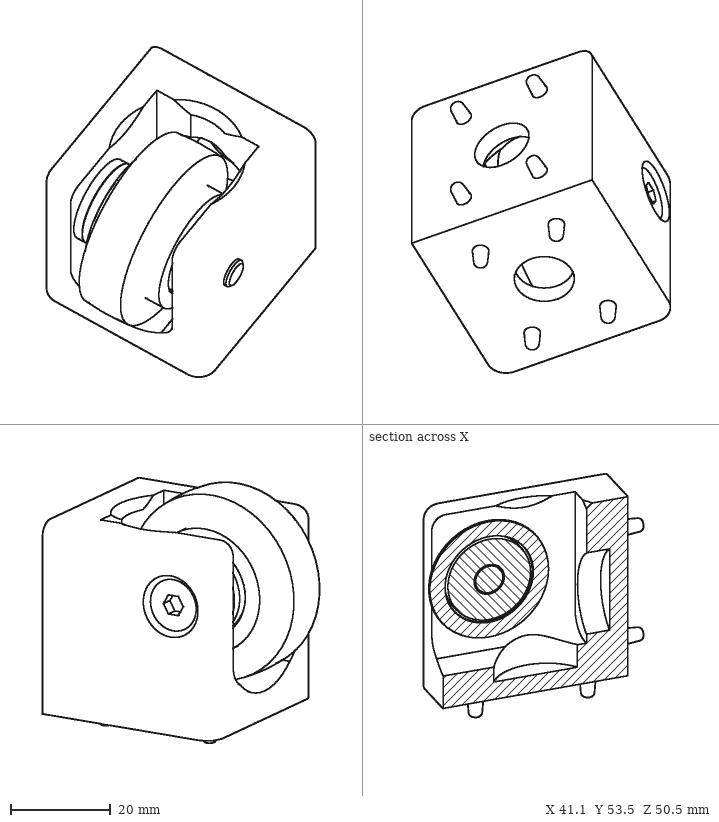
import cadquery as cq
import math


cube_size = 40.0
half_cube = cube_size / 2
upright_edge_radius = 4.0
top_edge_radius = 3.0

slot_width = 24.6
slot_wall_thickness = 9.0
slot_corner_radius = 5.0
slot_depth = cube_size - slot_wall_thickness

seat_diameter = 22.0
bolt_diameter = 12.0
seat_wall_thickness = 4.0

mouth_diameter = 27.5
access_diameter = 23.5
mouth_depth = (mouth_diameter - access_diameter) / 2

channel_bottom_z = -14.15
channel_edge_z = -10.4
channel_half_width = 9.7

peg_diameter = 3.3
peg_length = 4.0
peg_taper_angle = 4.5
peg_tip_radius = 0.9
peg_spacing_across = 16.8
peg_spacing_along = 24.3

axle_y = -10.0
axle_z = 7.0

screw_diameter = 6.0
screw_length = 40.0
screw_tip_chamfer = 0.5
screw_protrusion = 1.05
screw_end_x = half_cube + screw_protrusion
screw_head_x = screw_end_x - screw_length
hex_across_flats = 4.0
hex_depth = 2.5
countersink_diameter = 12.8
head_diameter = countersink_diameter - 2 * (screw_head_x + half_cube)
head_height = (head_diameter - screw_diameter) / 2

ring_diameter = 18.0
ring_bore = 6.4
washer_thickness = 2.0
washer_gap = 0.1
collar_standout = 1.3
wheel_diameter = 39.0
tread_edge_diameter = 38.5
tread_width = 10.0
hub_diameter = 25.8
hub_recess_diameter = 19.0
hub_recess_depth = 1.0
hub_fillet = 0.5
left_hub_length = 2.8

slot_left_x = -slot_width / 2
slot_right_x = slot_width / 2
first_washer_x = slot_left_x + washer_gap
second_washer_x = first_washer_x + washer_thickness + washer_gap
left_collar_x = second_washer_x + washer_thickness
collar_thickness = collar_standout + hub_recess_depth
right_collar_x = slot_right_x - collar_thickness
wheel_left_x = left_collar_x + collar_standout
wheel_right_x = slot_right_x - collar_standout
tread_left_x = wheel_left_x + left_hub_length
tread_middle_x = tread_left_x + tread_width / 2
tread_right_x = tread_left_x + tread_width


def axle_cylinder(start_x, diameter, length):
    """Cylinder on the wheel axis that runs from start_x toward +X."""
    plane = cq.Workplane("YZ", origin=(start_x, axle_y, axle_z))
    return plane.circle(diameter / 2).extrude(length)


def axle_cone(start_x, start_diameter, end_diameter, length):
    """Truncated cone on the wheel axis that runs from start_x toward +X."""
    return cq.Workplane(
        cq.Solid.makeCone(
            start_diameter / 2,
            end_diameter / 2,
            length,
            pnt=cq.Vector(start_x, axle_y, axle_z),
            dir=cq.Vector(1, 0, 0),
        )
    )


def turn_to_back(shape):
    """Turn a shape from the bottom of the cube to its back."""
    return shape.rotate((0, 0, 0), (1, 0, 0), 90)


def make_slot():
    slot_floor_z = -half_cube + slot_wall_thickness
    slot = (
        cq.Workplane("XY", origin=(0, -half_cube, slot_floor_z))
        .rect(slot_width, 2 * slot_depth)
        .extrude(cube_size)
    )
    return slot.edges("|Y and <Z").fillet(slot_corner_radius)


def make_access_hole():
    access_radius = access_diameter / 2
    hole = cq.Workplane("XY").circle(access_radius).extrude(half_cube)
    mouth = cq.Solid.makeCone(
        access_radius,
        mouth_diameter / 2,
        mouth_depth,
        pnt=cq.Vector(0, 0, half_cube - mouth_depth),
    )
    return hole.union(cq.Workplane(mouth))


def make_mounting_bore():
    """Bolt hole through the bottom, with a wide seat that also cuts the slot's rounded corners."""
    bottom = cq.Workplane("XY", origin=(0, 0, -half_cube))
    bolt_hole = bottom.circle(bolt_diameter / 2).extrude(half_cube)
    seat = (
        bottom.workplane(offset=seat_wall_thickness)
        .circle(seat_diameter / 2)
        .extrude(slot_wall_thickness + slot_corner_radius - seat_wall_thickness)
    )
    return bolt_hole.union(seat)


def make_channel():
    return (
        cq.Workplane("XZ")
        .moveTo(-channel_half_width, channel_edge_z)
        .threePointArc((0, channel_bottom_z), (channel_half_width, channel_edge_z))
        .close()
        .extrude(half_cube)
    )


def make_bottom_pegs():
    pegs = (
        cq.Workplane("XY", origin=(0, 0, -half_cube))
        .rarray(peg_spacing_across, peg_spacing_along, 2, 2)
        .circle(peg_diameter / 2)
        .extrude(-peg_length, taper=peg_taper_angle)
    )
    return pegs.faces("<Z").edges().fillet(peg_tip_radius)


def make_housing():
    housing = cq.Workplane("XY").box(cube_size, cube_size, cube_size)
    housing = housing.edges("|Z and <Y").fillet(upright_edge_radius)
    housing = housing.faces(">Z").edges("not >Y").fillet(top_edge_radius)
    housing = housing.cut(make_slot()).cut(make_access_hole()).cut(make_channel())

    bore = make_mounting_bore()
    housing = housing.cut(bore).cut(turn_to_back(bore))

    pegs = make_bottom_pegs()
    housing = housing.union(pegs).union(turn_to_back(pegs))

    countersink_depth = (countersink_diameter - screw_diameter) / 2
    screw_hole = axle_cylinder(-half_cube, screw_diameter, cube_size)
    countersink = axle_cone(-half_cube, countersink_diameter, screw_diameter, countersink_depth)
    return housing.cut(screw_hole).cut(countersink)


def make_screw():
    shank = axle_cylinder(screw_head_x, screw_diameter, screw_length)
    shank = shank.faces(">X").edges().chamfer(screw_tip_chamfer)
    head = axle_cone(screw_head_x, head_diameter, screw_diameter, head_height)
    hex_across_corners = hex_across_flats / math.cos(math.radians(30))
    hex_socket = (
        cq.Workplane("YZ", origin=(screw_head_x, axle_y, axle_z))
        .polygon(6, hex_across_corners)
        .extrude(hex_depth)
    )
    return shank.union(head).cut(hex_socket)


def make_ring(start_x, thickness):
    ring = axle_cylinder(start_x, ring_diameter, thickness)
    return ring.cut(axle_cylinder(start_x, ring_bore, thickness))


def make_wheel():
    bore_radius = screw_diameter / 2
    hub_radius = hub_diameter / 2
    fillet_top_radius = hub_radius + hub_fillet
    edge_radius = tread_edge_diameter / 2
    crown_radius = wheel_diameter / 2

    crown_rise = crown_radius - edge_radius
    half_tread = tread_width / 2
    arc_radius = (half_tread**2 + crown_rise**2) / (2 * crown_rise)
    profile = (
        cq.Workplane("XY", origin=(0, axle_y, axle_z))
        .moveTo(wheel_left_x, bore_radius)
        .lineTo(wheel_left_x, hub_radius)
        .lineTo(tread_left_x - hub_fillet, hub_radius)
        .radiusArc((tread_left_x, fillet_top_radius), -hub_fillet)
        .lineTo(tread_left_x, edge_radius)
        .radiusArc((tread_middle_x, crown_radius), arc_radius)
        .radiusArc((tread_right_x, edge_radius), arc_radius)
        .lineTo(tread_right_x, fillet_top_radius)
        .radiusArc((tread_right_x + hub_fillet, hub_radius), -hub_fillet)
        .lineTo(wheel_right_x, hub_radius)
        .lineTo(wheel_right_x, bore_radius)
        .close()
    )
    wheel = profile.revolve(360, (0, 0, 0), (1, 0, 0))

    for recess_x in (wheel_left_x, right_collar_x):
        wheel = wheel.cut(axle_cylinder(recess_x, hub_recess_diameter, hub_recess_depth))
    return wheel


housing = make_housing()
screw = make_screw()
wheel = make_wheel()
washers = [make_ring(start_x, washer_thickness) for start_x in (first_washer_x, second_washer_x)]
collars = [make_ring(start_x, collar_thickness) for start_x in (left_collar_x, right_collar_x)]

result = cq.Compound.makeCompound(
    [
        housing.solids().val(),
        screw.solids().val(),
        wheel.solids().val(),
        *[washer.solids().val() for washer in washers],
        *[collar.solids().val() for collar in collars],
    ]
)